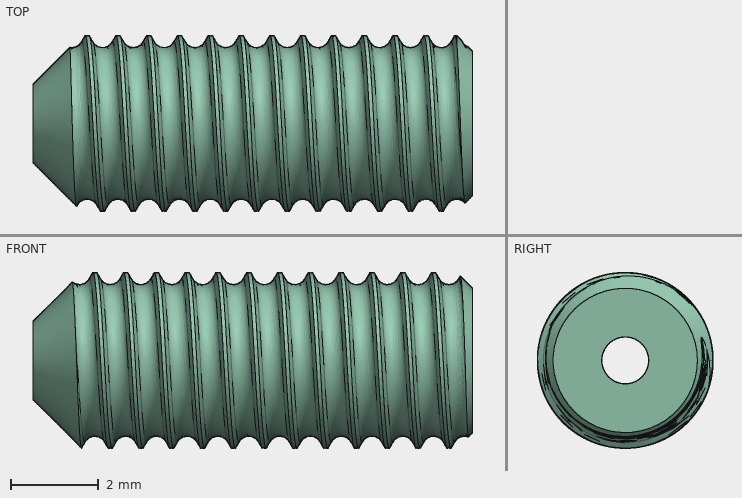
import cadquery as cq
import math

length = 10.0
major_radius = 2.0
end_radius = 1.64
rim_radius = 0.89
bore_radius = 0.53
cup_half_angle = math.radians(59)

pitch = 0.7
crest_width = pitch / 8
flank_half_angle = math.radians(30)
thread_depth = 0.27
groove_offset = 0.01

groove_half_width = (pitch - crest_width) / 2

root_radius = major_radius - thread_depth
sharp_depth = groove_half_width / math.tan(flank_half_angle)
arc_radius = (sharp_depth - thread_depth) / (1 / math.sin(flank_half_angle) - 1)
arc_half_width = arc_radius * math.cos(flank_half_angle)

rod_overrun = 0.2
trim_clearance = 0.1
curve_samples = 12


def groove_radius(offset):
    """Radius of the groove surface at an axial offset from the groove centre."""
    distance = abs(offset)
    if distance <= arc_half_width:
        return root_radius + arc_radius - math.sqrt(arc_radius**2 - distance**2)
    return major_radius - (groove_half_width - distance) / math.tan(flank_half_angle)


def section_point(offset):
    """Point of the cross section that lies at an axial offset from the groove centre."""
    angle = 2 * math.pi * offset / pitch
    radius = groove_radius(offset)
    return (radius * math.cos(angle), radius * math.sin(angle))


def section_curve(sketch, start, end):
    """Add the stretch of groove between two axial offsets to the cross section."""
    return sketch.parametricCurve(
        lambda t: section_point(start + t * (end - start)), N=curve_samples, makeWire=False
    )


def make_threaded_rod():
    """Rod whose cross section, twisted along the axis, leaves the helical groove."""
    sketch = cq.Workplane("XY")
    sketch = section_curve(sketch, -groove_half_width, -arc_half_width)
    sketch = section_curve(sketch, -arc_half_width, arc_half_width)
    sketch = section_curve(sketch, arc_half_width, groove_half_width)
    crest_end = section_point(-groove_half_width)
    section = (
        sketch.moveTo(*section_point(groove_half_width))
        .threePointArc((-major_radius, 0), crest_end)
        .wire()
    )
    rod_length = length + 2 * rod_overrun
    rod = section.twistExtrude(rod_length, 360 * rod_length / pitch)

    phase = -360 * (groove_offset + rod_overrun) / pitch
    return (
        rod.rotate((0, 0, 0), (0, 1, 0), 90)
        .rotate((0, 0, 0), (1, 0, 0), phase)
        .translate((-rod_overrun, 0, 0))
    )


def make_turned_shape():
    """Cup point cone, end chamfer and bore, with clearance around the thread crests."""
    outer_radius = major_radius + trim_clearance
    cone_length = outer_radius - rim_radius
    chamfer = outer_radius - end_radius
    cup_depth = (rim_radius - bore_radius) / math.tan(cup_half_angle)
    outline = [
        (0, rim_radius),
        (cone_length, outer_radius),
        (length - chamfer, outer_radius),
        (length, end_radius),
        (length, bore_radius),
        (cup_depth, bore_radius),
    ]
    return cq.Workplane("XY").polyline(outline).close().revolve(360, (0, 0, 0), (1, 0, 0))


screw = make_turned_shape().intersect(make_threaded_rod())
result = cq.Workplane("XY").newObject([screw.solids().val()])